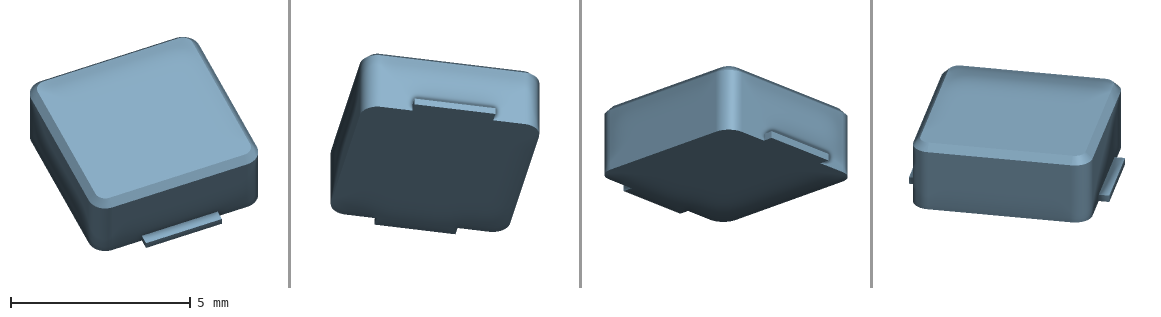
import cadquery as cq

body_side = 5.1
body_height = 2.0
corner_radius = 0.5
top_chamfer = 0.2

terminal_span = 5.7
terminal_width = 2.3
terminal_thickness = 0.2


def make_body():
    """Square block with rounded vertical corners and a chamfered top rim."""
    block = cq.Workplane("XY").box(body_side, body_side, body_height, centered=(True, True, False))
    rounded = block.edges("|Z").fillet(corner_radius)
    return rounded.faces(">Z").edges().chamfer(top_chamfer)


def make_terminals():
    """One strip through the body, standing out as a terminal on the -X and +X sides."""
    return cq.Workplane("XY").box(
        terminal_span, terminal_width, terminal_thickness, centered=(True, True, False)
    )


result = make_body().union(make_terminals())